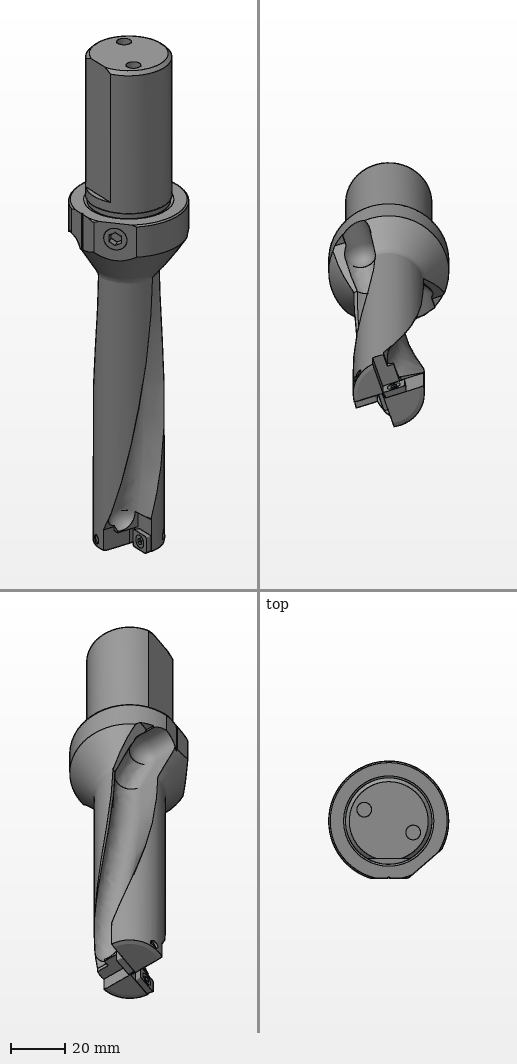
import cadquery as cq
import math


total_height = 201.1
flange_top = 141.0
flange_bottom = 128.0
cone_bottom = 113.8
holder_bottom = 0.5
overcut = 2.0

shank_radius = 32.0 / 2
shank_chamfer = 1.5
shank_flat_offset = 13.9
shank_flat_bottom = 146.8
neck_radius = 15.5
neck_height = 1.8
relief_radius = 16.7
relief_depth = 0.5
coolant_radius = 5.5 / 2
coolant_depth = 60.3
coolant_x = 9.0
coolant_y = 4.2

flange_radius = 44.5 / 2
flange_chamfer = 0.6
flange_depth = 43.5
front_flat_offset = flange_depth - flange_radius
side_flat_offset = 20.7
side_flat_angle = 41.0
mark_width = 0.6
mark_depth = 0.5

drill_radius = 26.3 / 2
cone_fillet = 4.0
tip_chamfer_width = 1.6
tip_chamfer_height = 0.5

flute_count = 2
flute_radius = 6.2
flute_x = -7.0
flute_y = -5.6
flute_wall_x = flute_x + flute_radius
lip_y = -1.5
lip_drop = 2.5
flute_reach = 24.1
helix_top = 113.6
helix_bottom = 14.0
helix_twist = 83.0
helix_growth = 1.7
helix_sections = 11
runout_top = 124.1
runout_tilt = 32.5
runout_lip_top = 129.3
runout_lip_tilt = 42.0

insert_width = 8.5
insert_height = 7.0
insert_thickness = 2.5
insert_corner = 0.8
insert_clearance = 7.0
seat_y = 1.0
seat_margin = 0.2
chip_wall_x = 4.6
lip_relief_floor = 8.2
lip_relief_start = (2.2, 9.3)
lip_relief_end = (7.5, 20.7)
screw_radius = 1.7
screw_head_radius = 5.0 / 2
screw_socket_width = 2.2
screw_socket_depth = 1.0
screw_recess = 0.8
outer_station = (9.0, 0.5, 2.2, 0)
central_station = (2.5, 0.0, -1.91, 180)
stations = (outer_station, central_station)

plug_radius = 4.5
plug_length = 8.0
plug_height = (flange_top + flange_bottom) / 2
plug_socket_width = 4.6
plug_socket_depth = 3.0


def turn(shape, angle):
    """Rotate about the drill axis."""
    return shape.rotate((0, 0, 0), (0, 0, 1), angle)


def box_between(low, high):
    size = [b - a for a, b in zip(low, high)]
    return cq.Workplane("XY").box(*size, centered=False).translate(low)


def turned_blank():
    """Shank, neck, flange, cone and drill body as one turned profile."""
    neck_top = flange_top + neck_height
    profile = (
        cq.Workplane("XZ")
        .moveTo(0, holder_bottom)
        .lineTo(drill_radius - tip_chamfer_width, holder_bottom)
        .lineTo(drill_radius, holder_bottom + tip_chamfer_height)
        .lineTo(drill_radius, cone_bottom)
        .lineTo(flange_radius, flange_bottom)
        .lineTo(flange_radius, flange_top - flange_chamfer)
        .lineTo(flange_radius - flange_chamfer, flange_top)
        .lineTo(relief_radius, flange_top)
        .lineTo(neck_radius, flange_top - relief_depth)
        .lineTo(neck_radius, neck_top)
        .lineTo(shank_radius, neck_top)
        .lineTo(shank_radius, total_height - shank_chamfer)
        .lineTo(shank_radius - shank_chamfer, total_height)
        .lineTo(0, total_height)
        .close()
    )
    blank = profile.revolve(360, (0, 0, 0), (0, 1, 0))
    root_ring = cq.selectors.RadiusNthSelector(0)
    root_height = cq.selectors.BoxSelector(
        (-flange_radius, -flange_radius, holder_bottom + overcut),
        (flange_radius, flange_radius, flange_bottom - overcut),
        boundingbox=True,
    )
    return blank.edges(root_height).edges(root_ring).fillet(cone_fillet)


def shank_flat():
    return box_between(
        (-shank_radius, -flange_radius, shank_flat_bottom),
        (shank_radius, -shank_flat_offset, total_height),
    )


def flange_flat(offset, angle):
    flat = box_between(
        (-flange_radius, -2 * flange_radius, cone_bottom),
        (flange_radius, -offset, flange_top),
    )
    return turn(flat, angle)


def mark_groove():
    """Fine setting mark on the front flat of the flange."""
    return box_between(
        (-mark_width / 2, -flange_radius, cone_bottom),
        (mark_width / 2, mark_depth - front_flat_offset, flange_top),
    )


def coolant_holes():
    mouths = [(-coolant_x, coolant_y), (coolant_x, -coolant_y)]
    top = cq.Workplane("XY", origin=(0, 0, total_height))
    return top.pushPoints(mouths).circle(coolant_radius).extrude(-coolant_depth)


def flute_wire(height, lip_points):
    """Flute section: a lip, a round floor and a straight wall, open to the outside."""
    section = (
        cq.Workplane("XY")
        .polyline(lip_points)
        .threePointArc((flute_x, flute_y + flute_radius), (flute_wall_x, flute_y))
        .lineTo(flute_wall_x, -flute_reach)
        .lineTo(lip_points[0][0], -flute_reach)
        .close()
    )
    return section.val().translate(cq.Vector(0, 0, height))


def flat_lip(edge_y):
    """Lip along X, from the outside to the round floor."""
    edge_x = flute_x - math.sqrt(flute_radius**2 - (edge_y - flute_y) ** 2)
    return [(-flute_reach, edge_y), (edge_x, edge_y)]


def helical_flute():
    """Section twisting clockwise, ever faster, on its way down; it ends in a ball."""
    wires = []
    for index in range(helix_sections):
        fraction = index / (helix_sections - 1)
        height = helix_top - fraction * (helix_top - helix_bottom)
        wire = flute_wire(height, flat_lip(lip_y - lip_drop * fraction**2))
        wires.append(turn(wire, -helix_twist * fraction**helix_growth))
    groove = cq.Workplane(cq.Solid.makeLoft(wires))
    ball = cq.Workplane("XY").sphere(flute_radius).translate((flute_x, flute_y, helix_bottom))
    return groove, turn(ball, -helix_twist)


def leaning_prism(wire, top, tilt):
    """Prism from the helix top up to a height, leaning toward -Y, and its vector."""
    rise = top - helix_top
    slope = cq.Vector(0, -rise * math.tan(math.radians(tilt)), rise)
    return cq.Workplane(cq.Solid.extrudeLinear(wire, [], slope)), slope


def flute_runout():
    """Flute leaning outward along the cone, closed by a ball and a round channel toward -Y."""
    side_x = flute_x - flute_radius
    wire = flute_wire(helix_top, [(side_x, -flute_reach / 2), (side_x, flute_y)])
    leaning, slope = leaning_prism(wire, runout_top, runout_tilt)
    end = (flute_x, flute_y + slope.y, runout_top)
    ball = cq.Workplane("XY").sphere(flute_radius).translate(end)
    channel = cq.Workplane("XZ", origin=end).circle(flute_radius).extrude(flute_reach)
    return leaning, ball, channel


def runout_lip():
    """Lip beside the runout, leaning more than its floor."""
    outer_end, inner_end = flat_lip(lip_y)
    corners = [
        outer_end,
        inner_end,
        (inner_end[0], -flute_reach),
        (outer_end[0], -flute_reach),
    ]
    wire = cq.Workplane("XY", origin=(0, 0, helix_top)).polyline(corners).close().val()
    return leaning_prism(wire, runout_lip_top, runout_lip_tilt)[0]


def lip_relief():
    """Sloping cut through the flute lip just above the insert."""
    corners = [
        (lip_relief_start[0], 0),
        lip_relief_start,
        lip_relief_end,
        (flute_reach, lip_relief_end[1]),
        (flute_reach, 0),
    ]
    plane = cq.Workplane("XZ", origin=(0, -lip_relief_floor, 0))
    return plane.polyline(corners).close().extrude(flute_reach)


def insert_pocket(center_x, bottom, wall_x):
    """Chip space above the insert and the seat below it, both open at the tip."""
    seat_top = bottom + insert_height + seat_margin
    seat = box_between((wall_x, -flute_reach, -overcut), (flute_reach, seat_y, seat_top))
    chip_space = box_between((chip_wall_x, -flute_reach, -overcut), (flute_reach, seat_y, helix_bottom))
    middle = (center_x, 0, bottom + insert_height / 2)
    screw_hole = cq.Workplane("XZ", origin=middle).circle(screw_radius).extrude(-flute_reach)
    return seat, chip_space, screw_hole


def cutting_insert(center_x, bottom):
    """Rounded square plate narrowing toward its seat, with a countersunk screw hole."""
    face_y = seat_y - insert_thickness
    plate = (
        cq.Workplane("XZ", origin=(center_x, face_y, bottom + insert_height / 2))
        .sketch()
        .rect(insert_width, insert_height)
        .vertices()
        .fillet(insert_corner)
        .finalize()
        .extrude(-insert_thickness, taper=insert_clearance)
    )
    return plate.cut(screw_blank(center_x, bottom))


def screw_blank(center_x, bottom):
    """Countersunk head flush with the insert face on a plain shank."""
    face_y = seat_y - insert_thickness
    head_depth = screw_head_radius - screw_radius
    end_y = math.sqrt(drill_radius**2 - center_x**2) - screw_recess
    outline = (
        cq.Workplane("XY")
        .moveTo(0, face_y)
        .lineTo(screw_head_radius, face_y)
        .lineTo(screw_radius, face_y + head_depth)
        .lineTo(screw_radius, end_y)
        .lineTo(0, end_y)
        .close()
    )
    screw = outline.revolve(360, (0, 0, 0), (0, 1, 0))
    return screw.translate((center_x, 0, bottom + insert_height / 2))


def hex_socket(plane, width, depth):
    """Hexagonal prism, one corner pointing up, sunk from the plane."""
    across_corners = width / math.cos(math.pi / 6)
    upright = cq.Workplane(plane).transformed(rotate=(0, 0, 90))
    return upright.polygon(6, across_corners).extrude(-depth)


def insert_screw(center_x, bottom):
    middle = (center_x, seat_y - insert_thickness, bottom + insert_height / 2)
    face = cq.Plane(middle, (1, 0, 0), (0, -1, 0))
    return screw_blank(center_x, bottom).cut(hex_socket(face, screw_socket_width, screw_socket_depth))


def plug_blank():
    face = cq.Plane((0, -side_flat_offset, plug_height), (1, 0, 0), (0, -1, 0))
    return face, cq.Workplane(face).circle(plug_radius).extrude(-plug_length)


def flange_plug():
    face, blank = plug_blank()
    return turn(blank.cut(hex_socket(face, plug_socket_width, plug_socket_depth)), side_flat_angle)


def drill_holder():
    holder = turned_blank().cut(shank_flat())
    holder = holder.cut(flange_flat(front_flat_offset, 0))
    holder = holder.cut(flange_flat(side_flat_offset, side_flat_angle))
    holder = holder.cut(mark_groove()).cut(coolant_holes())
    for index in range(flute_count):
        for tool in (*helical_flute(), *flute_runout(), runout_lip()):
            holder = holder.cut(turn(tool, index * 360 / flute_count))
    for center_x, bottom, wall_x, angle in stations:
        for tool in (lip_relief(), *insert_pocket(center_x, bottom, wall_x)):
            holder = holder.cut(turn(tool, angle))
    return holder.cut(turn(plug_blank()[1], side_flat_angle))


holder = drill_holder()
plug = flange_plug()
inserts = [turn(cutting_insert(x, bottom), angle) for x, bottom, wall, angle in stations]
screws = [turn(insert_screw(x, bottom), angle) for x, bottom, wall, angle in stations]

result = cq.Compound.makeCompound([body.val() for body in [holder, plug, *inserts, *screws]])